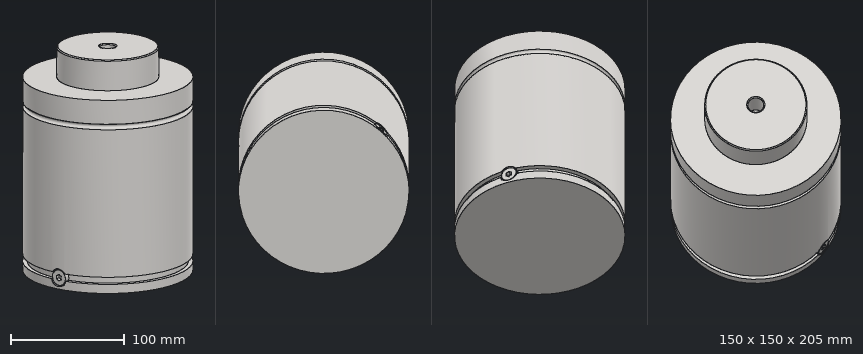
import cadquery as cq
import math

body_radius = 75.0
body_top = 177.0

base_groove_radius = 71.0
base_groove_bottom = 8.5
base_groove_top = 15.0

cut_margin = 1.0

round_groove_radius = 2.5
round_groove_center_z = 152.5

rod_radius = 45.0
rod_top = 205.0
rod_chamfer = 1.0

rod_hole_diameter = 14.0
rod_hole_mouth_diameter = 16.0
rod_hole_depth = 25.0
rod_hole_tip_angle = 118.0

port_z = 10.5
port_diameter = 16.0
port_floor_y = -66.0
plug_diameter = 14.0
plug_face_y = -74.3
socket_across_flats = 5.0
socket_across_corners = socket_across_flats / math.cos(math.pi / 6)
socket_depth = 4.0


def make_body():
    """Cylinder and rod, turned as stacked cylinders with two grooves."""
    body = cq.Workplane("XY").circle(body_radius).extrude(body_top)
    rod = (
        cq.Workplane("XY")
        .workplane(offset=body_top)
        .circle(rod_radius)
        .extrude(rod_top - body_top)
        .faces(">Z")
        .chamfer(rod_chamfer)
    )
    base_groove = (
        cq.Workplane("XY")
        .workplane(offset=base_groove_bottom)
        .circle(body_radius + cut_margin)
        .circle(base_groove_radius)
        .extrude(base_groove_top - base_groove_bottom)
    )
    round_groove = cq.Workplane("XY").add(
        cq.Solid.makeTorus(
            body_radius,
            round_groove_radius,
            cq.Vector(0, 0, round_groove_center_z),
        )
    )
    return body.union(rod).cut(base_groove).cut(round_groove)


def make_rod_hole():
    """Blind hole with a 45 degree countersink and a drill-point bottom."""
    hole_radius = rod_hole_diameter / 2
    mouth_radius = rod_hole_mouth_diameter / 2
    mouth_depth = mouth_radius - hole_radius
    tip_height = hole_radius / math.tan(math.radians(rod_hole_tip_angle / 2))
    hole_bottom = rod_top - rod_hole_depth
    return (
        cq.Workplane("XZ")
        .moveTo(0, rod_top)
        .lineTo(mouth_radius, rod_top)
        .lineTo(hole_radius, rod_top - mouth_depth)
        .lineTo(hole_radius, hole_bottom)
        .lineTo(0, hole_bottom - tip_height)
        .close()
        .revolve(360, (0, 0, 0), (0, 1, 0))
    )


def port_plane(y):
    """Plane across the port axis at the given Y, facing outward along -Y."""
    return cq.Workplane("XZ", origin=(0, y, port_z))


def make_port_bore():
    """Bore of the filling port, from its floor out through the body wall."""
    return port_plane(port_floor_y).circle(port_diameter / 2).extrude(body_radius + port_floor_y)


def make_plug():
    """Plug standing on the port floor, with a hexagon socket in its face."""
    plug = port_plane(port_floor_y).circle(plug_diameter / 2).extrude(port_floor_y - plug_face_y)
    socket = (
        port_plane(plug_face_y)
        .transformed(rotate=(0, 0, 90))
        .polygon(6, socket_across_corners)
        .extrude(-socket_depth)
    )
    return plug.cut(socket)


result = make_body().cut(make_rod_hole()).cut(make_port_bore()).union(make_plug())